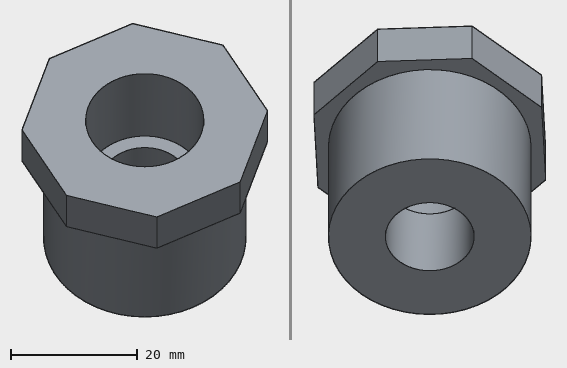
import cadquery as cq
import math

across_flats = 36.0
head_height = 8.0
head_sides = 8

total_height = 30.0
shank_diameter = 32.0
shank_height = total_height - head_height

socket_diameter = 18.65
socket_depth = 16.0
bore_diameter = 14.0


def make_head():
    """Regular octagon with flats facing X and Y."""
    across_corners = across_flats / math.cos(math.pi / head_sides)
    return (
        cq.Workplane("XY", origin=(0, 0, shank_height))
        .transformed(rotate=(0, 0, 180 / head_sides))
        .polygon(head_sides, across_corners)
        .extrude(head_height)
    )


def make_shank():
    return cq.Workplane("XY").circle(shank_diameter / 2).extrude(shank_height)


def make_bore():
    return cq.Workplane("XY").circle(bore_diameter / 2).extrude(total_height)


def make_socket():
    """Cylinder from the top face down to the bore shoulder."""
    return (
        cq.Workplane("XY", origin=(0, 0, total_height - socket_depth))
        .circle(socket_diameter / 2)
        .extrude(socket_depth)
    )


result = make_head().union(make_shank()).cut(make_bore()).cut(make_socket())